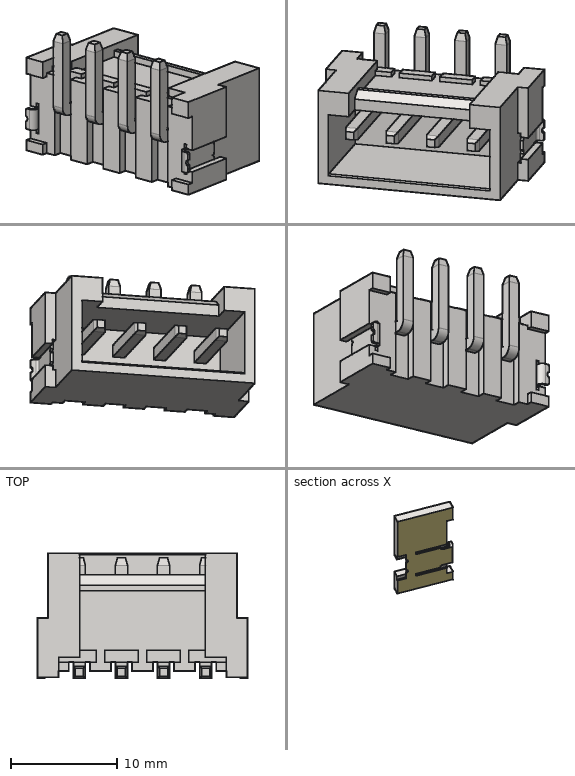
import cadquery as cq
import math


PIN_COUNT = 4
PIN_PITCH = 3.96
PIN_SIZE = 1.14
PIN_TIP_SIZE = 0.76
PIN_TIP_LENGTH = 0.7
PIN_BEND_RADIUS = 0.95
PIN_MATING_END_Y = -0.46
PIN_FRONT_Y = -11.8
PIN_BOTTOM_Z = 4.3
PIN_TOP_Z = 12.4

BODY_WIDTH = 17.8
BODY_HEIGHT = 9.25
END_WALL_FRONT_Y = -11.1
SIDE_WALL = 1.0
CAVITY_FLOOR_Z = 1.0
CAVITY_ROOF_Z = 6.92
CAVITY_END_Y = -9.13
FLOOR_LIP_CHAMFER = 0.15

DECK_Z = 8.0
DECK_HALF_WIDTH = 5.92
DECK_MATING_Y = -2.03
ARM_FRONT_Y = -9.8
RIDGE_HEIGHT = 0.63
RIDGE_RAMP_LENGTH = 1.0
RIDGE_FLAT_LENGTH = 0.52

PAD_WIDTH = 3.16
PAD_TOP_Z = 8.45
PAD_REAR_Y = CAVITY_END_Y
CHANNEL_WIDTH = 1.96
CHANNEL_FLOOR_Y = -10.25

WING_THICKNESS = 1.0
WING_REAR_Y = -6.1
BLOCK_FRONT_Y = -11.7
BLOCK_BOTTOM_Z = 7.65
FOOT_TOP_Z = 1.03

CLIP_Z = 3.2
CLIP_THICKNESS = 0.28
CLIP_FRONT_Y = PIN_FRONT_Y
CLIP_REAR_Y = -6.98
CLIP_HEAD_LENGTH = 1.0
CLIP_PLATE_HEIGHT = 2.55
CLIP_TAB_HEIGHT = 2.05
CLIP_NECK_Y = -10.68
CLIP_BEND_RADIUS = 0.53
CLIP_CORNER_RADIUS = 0.2
CLIP_NOTCH_RADIUS = 0.29
CLIP_NOTCH_DEPTH = 0.21
CLIP_NICK_OFFSET = 0.65
CLIP_NICK_HEIGHT = 0.4
CLIP_NICK_DEPTH = 0.2
SLOT_HEIGHT = 2.15
GROOVE_HEIGHT = 2.96

BODY_HALF_WIDTH = BODY_WIDTH / 2
OVERALL_HALF_WIDTH = BODY_HALF_WIDTH + WING_THICKNESS
CAVITY_HALF_WIDTH = BODY_HALF_WIDTH - SIDE_WALL
DIAGONAL = math.sqrt(0.5)
PIN_XS = [(i - (PIN_COUNT - 1) / 2) * PIN_PITCH for i in range(PIN_COUNT)]


def box(x_range, y_range, z_range):
    """Box between the two limits given for each axis."""
    size = [abs(b - a) for a, b in (x_range, y_range, z_range)]
    corner = [min(limits) for limits in (x_range, y_range, z_range)]
    return cq.Workplane("XY").box(*size, centered=False).translate(tuple(corner))


def mirrored(solid):
    """The solid together with its mirror image across the YZ plane."""
    return solid.union(solid.mirror("YZ"))


def make_shell():
    """Open-ended box with its top cut down to the deck between the arms."""
    full_width = (-BODY_HALF_WIDTH, BODY_HALF_WIDTH)
    deck_width = (-DECK_HALF_WIDTH, DECK_HALF_WIDTH)
    inner_width = (-CAVITY_HALF_WIDTH, CAVITY_HALF_WIDTH)
    shell = box(full_width, (END_WALL_FRONT_Y, 0), (0, BODY_HEIGHT))
    shell = shell.cut(box(inner_width, (CAVITY_END_Y, 0), (CAVITY_FLOOR_Z, CAVITY_ROOF_Z)))
    shell = shell.cut(box(deck_width, (ARM_FRONT_Y, 0), (DECK_Z, BODY_HEIGHT)))
    shell = shell.cut(box(inner_width, (END_WALL_FRONT_Y, ARM_FRONT_Y), (DECK_Z, BODY_HEIGHT)))
    shell = shell.cut(box(deck_width, (DECK_MATING_Y, 0), (CAVITY_ROOF_Z, DECK_Z)))
    lip = (
        cq.Workplane("YZ")
        .moveTo(0, CAVITY_FLOOR_Z)
        .lineTo(-FLOOR_LIP_CHAMFER, CAVITY_FLOOR_Z)
        .lineTo(0, CAVITY_FLOOR_Z - FLOOR_LIP_CHAMFER)
        .close()
        .extrude(CAVITY_HALF_WIDTH, both=True)
    )
    return shell.cut(lip)


def make_ridge():
    """Latch ridge: a ramp from the mating edge, a flat crest and an upright front."""
    crest_y = DECK_MATING_Y - RIDGE_RAMP_LENGTH
    front_y = crest_y - RIDGE_FLAT_LENGTH
    return (
        cq.Workplane("YZ")
        .moveTo(DECK_MATING_Y, DECK_Z)
        .lineTo(crest_y, DECK_Z + RIDGE_HEIGHT)
        .lineTo(front_y, DECK_Z + RIDGE_HEIGHT)
        .lineTo(front_y, DECK_Z)
        .close()
        .extrude(DECK_HALF_WIDTH, both=True)
    )


def make_pad(x):
    """Raised pad on the deck behind one pin; the outer pads reach the side walls."""
    left = x - PAD_WIDTH / 2
    right = x + PAD_WIDTH / 2
    if x == PIN_XS[0]:
        left = -CAVITY_HALF_WIDTH
    if x == PIN_XS[-1]:
        right = CAVITY_HALF_WIDTH
    return box((left, right), (CHANNEL_FLOOR_Y, PAD_REAR_Y), (DECK_Z, PAD_TOP_Z))


def make_channel(x):
    """Upright channel in the end wall, around one pin."""
    half = CHANNEL_WIDTH / 2
    return box((x - half, x + half), (END_WALL_FRONT_Y, CHANNEL_FLOOR_Y), (0, DECK_Z))


def make_wings():
    """Side wings with the clip slot and groove, a top block and a foot."""
    outer = (BODY_HALF_WIDTH, OVERALL_HALF_WIDTH)
    front_x = (CAVITY_HALF_WIDTH, OVERALL_HALF_WIDTH)
    length = (END_WALL_FRONT_Y, WING_REAR_Y)
    ahead = (BLOCK_FRONT_Y, END_WALL_FRONT_Y)
    wing = box(outer, length, (0, BODY_HEIGHT))
    wing = wing.cut(box(outer, length, (CLIP_Z - SLOT_HEIGHT / 2, CLIP_Z + SLOT_HEIGHT / 2)))
    groove_x = (BODY_HALF_WIDTH, BODY_HALF_WIDTH + CLIP_THICKNESS)
    groove_z = (CLIP_Z - GROOVE_HEIGHT / 2, CLIP_Z + GROOVE_HEIGHT / 2)
    wing = wing.cut(box(groove_x, length, groove_z))
    wing = wing.union(box(front_x, ahead, (BLOCK_BOTTOM_Z, BODY_HEIGHT)))
    wing = wing.union(box(front_x, ahead, (0, FOOT_TOP_Z)))
    return mirrored(wing)


def tapered_tip(plane):
    """Tapered pin tip, growing from the plane's origin along its normal."""
    return (
        cq.Workplane(plane)
        .rect(PIN_SIZE, PIN_SIZE)
        .workplane(offset=PIN_TIP_LENGTH)
        .rect(PIN_TIP_SIZE, PIN_TIP_SIZE)
        .loft(ruled=True)
    )


def make_pin(x):
    """Square pin, bent upwards, with a tapered tip at each end."""
    half = PIN_SIZE / 2
    leg_end_z = PIN_TOP_Z - PIN_TIP_LENGTH
    mating_shoulder_y = PIN_MATING_END_Y - PIN_TIP_LENGTH
    leg_y = PIN_FRONT_Y + PIN_SIZE
    pin_x = (x - half, x + half)
    lower_z = (PIN_BOTTOM_Z, PIN_BOTTOM_Z + PIN_SIZE)
    pin = box(pin_x, (PIN_FRONT_Y, mating_shoulder_y), lower_z)
    pin = pin.union(box(pin_x, (PIN_FRONT_Y, leg_y), (PIN_BOTTOM_Z, leg_end_z)))
    pin = pin.edges("|X and <Y and <Z").fillet(PIN_BEND_RADIUS)
    leg_plane = cq.Plane((x, PIN_FRONT_Y + half, leg_end_z), (1, 0, 0), (0, 0, 1))
    mating_plane = cq.Plane((x, mating_shoulder_y, PIN_BOTTOM_Z + half), (1, 0, 0), (0, 1, 0))
    return pin.union(tapered_tip(leg_plane)).union(tapered_tip(mating_plane))


def make_clip_strip():
    """Bent strip of the clip at full plate height: plate, outward bend and flange."""
    inner_x = BODY_HALF_WIDTH
    front_y = CLIP_FRONT_Y
    inner_radius = CLIP_BEND_RADIUS - CLIP_THICKNESS
    centre_x = inner_x + CLIP_BEND_RADIUS
    centre_y = front_y + CLIP_BEND_RADIUS
    outer_mid = (centre_x - CLIP_BEND_RADIUS * DIAGONAL, centre_y - CLIP_BEND_RADIUS * DIAGONAL)
    inner_mid = (centre_x - inner_radius * DIAGONAL, centre_y - inner_radius * DIAGONAL)
    return (
        cq.Workplane("XY", origin=(0, 0, CLIP_Z))
        .moveTo(inner_x, CLIP_REAR_Y)
        .lineTo(inner_x, centre_y)
        .threePointArc(outer_mid, (centre_x, front_y))
        .lineTo(OVERALL_HALF_WIDTH, front_y)
        .lineTo(OVERALL_HALF_WIDTH, front_y + CLIP_THICKNESS)
        .lineTo(centre_x, front_y + CLIP_THICKNESS)
        .threePointArc(inner_mid, (inner_x + CLIP_THICKNESS, centre_y))
        .lineTo(inner_x + CLIP_THICKNESS, CLIP_REAR_Y)
        .close()
        .extrude(CLIP_PLATE_HEIGHT / 2, both=True)
    )


def make_clip_head():
    """Wider rear end of the plate, which fills the full height of the groove."""
    return box(
        (BODY_HALF_WIDTH, BODY_HALF_WIDTH + CLIP_THICKNESS),
        (CLIP_REAR_Y - CLIP_HEAD_LENGTH, CLIP_REAR_Y),
        (CLIP_Z - GROOVE_HEIGHT / 2, CLIP_Z + GROOVE_HEIGHT / 2),
    )


def make_shoulder_relief(side):
    """Material removed from one edge of the strip (side is +1 for the top, -1 for the bottom)
    so that the plate narrows to the tab through a rounded shoulder."""
    shoulder = (CLIP_PLATE_HEIGHT - CLIP_TAB_HEIGHT) / 2
    tab_edge_z = CLIP_Z + side * CLIP_TAB_HEIGHT / 2
    plate_edge_z = CLIP_Z + side * CLIP_PLATE_HEIGHT / 2
    arc_mid = (CLIP_NECK_Y + shoulder * DIAGONAL, plate_edge_z - side * shoulder * DIAGONAL)
    return (
        cq.Workplane("YZ", origin=(BODY_HALF_WIDTH, 0, 0))
        .moveTo(CLIP_FRONT_Y, tab_edge_z)
        .lineTo(CLIP_NECK_Y, tab_edge_z)
        .threePointArc(arc_mid, (CLIP_NECK_Y + shoulder, plate_edge_z))
        .lineTo(CLIP_FRONT_Y, plate_edge_z)
        .close()
        .extrude(WING_THICKNESS)
    )


def make_plate_nick(side):
    """V-shaped nick in the rear end of the plate, above or below its middle."""
    nick_z = CLIP_Z + side * CLIP_NICK_OFFSET
    return (
        cq.Workplane("YZ", origin=(BODY_HALF_WIDTH, 0, 0))
        .moveTo(CLIP_REAR_Y, nick_z - CLIP_NICK_HEIGHT / 2)
        .lineTo(CLIP_REAR_Y - CLIP_NICK_DEPTH, nick_z)
        .lineTo(CLIP_REAR_Y, nick_z + CLIP_NICK_HEIGHT / 2)
        .close()
        .extrude(CLIP_THICKNESS)
    )


def make_flange_notch():
    """Round notch in the outer edge of the flange."""
    notch_x = OVERALL_HALF_WIDTH + CLIP_NOTCH_RADIUS - CLIP_NOTCH_DEPTH
    return (
        cq.Workplane("XZ", origin=(notch_x, CLIP_FRONT_Y + CLIP_THICKNESS, CLIP_Z))
        .circle(CLIP_NOTCH_RADIUS)
        .extrude(CLIP_THICKNESS)
    )


def make_clips():
    """Solder clips, one in each wing."""
    clip = make_clip_strip().union(make_clip_head())
    for side in (-1, 1):
        clip = clip.cut(make_shoulder_relief(side)).cut(make_plate_nick(side))
    clip = clip.edges("|Y and >X").fillet(CLIP_CORNER_RADIUS)
    return mirrored(clip.cut(make_flange_notch()))


housing = make_shell().union(make_ridge()).union(make_wings())
for x in PIN_XS:
    housing = housing.union(make_pad(x)).cut(make_channel(x))
header = housing.union(make_clips())
for x in PIN_XS:
    header = header.union(make_pin(x))
result = header